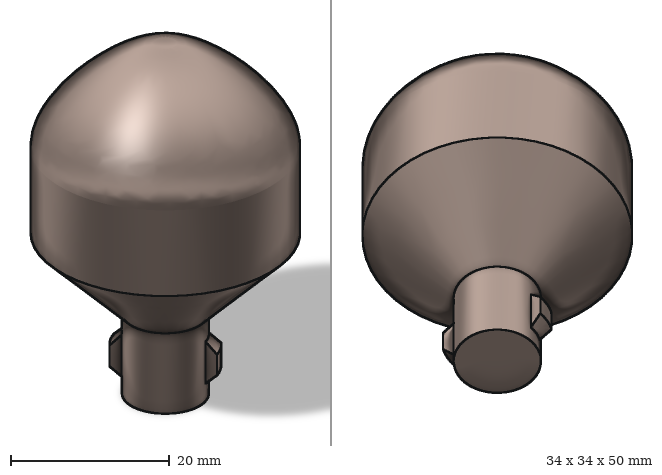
import cadquery as cq

HEAD_RADIUS = 17.0
STEM_RADIUS = 5.5
TIP_RADIUS = 1.5
STEM_HEIGHT = 11.5
CONE_HEIGHT = HEAD_RADIUS - STEM_RADIUS
BAND_HEIGHT = 12.2
TOTAL_HEIGHT = 50.0

CONE_TOP = STEM_HEIGHT + CONE_HEIGHT
BAND_TOP = CONE_TOP + BAND_HEIGHT

DOME_SIDE_HANDLE = 5.7
DOME_TIP_HANDLE = 4.0

LUG_COUNT = 2
LUG_OUTER_RADIUS = 7.05
LUG_CENTRE_HEIGHT = 5.5
LUG_ROOT_HEIGHT = 6.0
LUG_FACE_HEIGHT = 3.0
LUG_START_ANGLE = 30.0
LUG_SWEEP_ANGLE = 25.7
LUG_OVERLAP = 1.0


def make_body():
    """Stem, cone, band and dome revolved as one profile."""
    return (
        cq.Workplane("XZ")
        .moveTo(0, 0)
        .lineTo(STEM_RADIUS, 0)
        .lineTo(STEM_RADIUS, STEM_HEIGHT)
        .lineTo(HEAD_RADIUS, CONE_TOP)
        .lineTo(HEAD_RADIUS, BAND_TOP)
        .bezier(
            [
                (HEAD_RADIUS, BAND_TOP),
                (HEAD_RADIUS, BAND_TOP + DOME_SIDE_HANDLE),
                (TIP_RADIUS + DOME_TIP_HANDLE, TOTAL_HEIGHT),
                (TIP_RADIUS, TOTAL_HEIGHT),
            ]
        )
        .lineTo(0, TOTAL_HEIGHT)
        .close()
        .revolve(360, (0, 0, 0), (0, 1, 0))
    )


def make_lug(start_angle):
    """Trapezoid profile swept around Z from start_angle, with radial end faces."""
    half_root = LUG_ROOT_HEIGHT / 2
    half_face = LUG_FACE_HEIGHT / 2
    inner_radius = STEM_RADIUS - LUG_OVERLAP
    profile = (
        cq.Workplane("XZ")
        .moveTo(inner_radius, LUG_CENTRE_HEIGHT - half_root)
        .lineTo(STEM_RADIUS, LUG_CENTRE_HEIGHT - half_root)
        .lineTo(LUG_OUTER_RADIUS, LUG_CENTRE_HEIGHT - half_face)
        .lineTo(LUG_OUTER_RADIUS, LUG_CENTRE_HEIGHT + half_face)
        .lineTo(STEM_RADIUS, LUG_CENTRE_HEIGHT + half_root)
        .lineTo(inner_radius, LUG_CENTRE_HEIGHT + half_root)
        .close()
    )
    lug = profile.revolve(LUG_SWEEP_ANGLE, (0, 0, 0), (0, 1, 0))
    return lug.rotate((0, 0, 0), (0, 0, 1), start_angle)


result = make_body()
for index in range(LUG_COUNT):
    result = result.union(make_lug(LUG_START_ANGLE + index * 360 / LUG_COUNT))